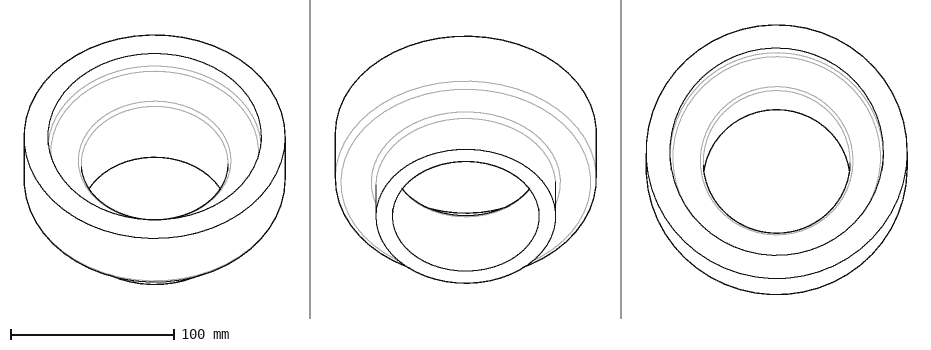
import cadquery as cq

outer_diameter = 160.0
neck_diameter = 110.1
socket_diameter = 130.7
bore_diameter = 90.0
total_height = 76.2
cup_height = 45.0

socket_depth = 14.2
funnel_bottom_depth = 24.3

cup_edge_radius = 3.5
neck_root_radius = 2.9
socket_root_radius = 3.2
bore_edge_radius = 3.2

outer_radius = outer_diameter / 2
neck_radius = neck_diameter / 2
socket_radius = socket_diameter / 2
bore_radius = bore_diameter / 2

neck_height = total_height - cup_height
socket_floor = total_height - socket_depth
funnel_bottom = total_height - funnel_bottom_depth


def circle_at(radius, height):
    """Select the circular edge of the given radius and height on the Z axis."""
    margin = 0.02
    low = (-radius - margin, -radius - margin, height - margin)
    high = (radius + margin, radius + margin, height + margin)
    return cq.selectors.BoxSelector(low, high, boundingbox=True)


body = (
    cq.Workplane("XZ")
    .moveTo(bore_radius, 0)
    .lineTo(neck_radius, 0)
    .lineTo(neck_radius, neck_height)
    .lineTo(outer_radius, neck_height)
    .lineTo(outer_radius, total_height)
    .lineTo(socket_radius, total_height)
    .lineTo(socket_radius, socket_floor)
    .lineTo(bore_radius, funnel_bottom)
    .close()
    .revolve(360, (0, 0, 0), (0, 1, 0))
)


def round_circle(solid, radius, height, fillet_radius):
    """Round the outermost circular edge at the given height, up to the given radius."""
    circles = solid.edges("%CIRCLE").edges(circle_at(radius, height))
    return circles.edges(cq.selectors.RadiusNthSelector(-1)).fillet(fillet_radius)


body = round_circle(body, outer_radius, neck_height, cup_edge_radius)
body = round_circle(body, neck_radius, neck_height, neck_root_radius)
body = round_circle(body, socket_radius, socket_floor, socket_root_radius)
result = round_circle(body, bore_radius, funnel_bottom, bore_edge_radius)